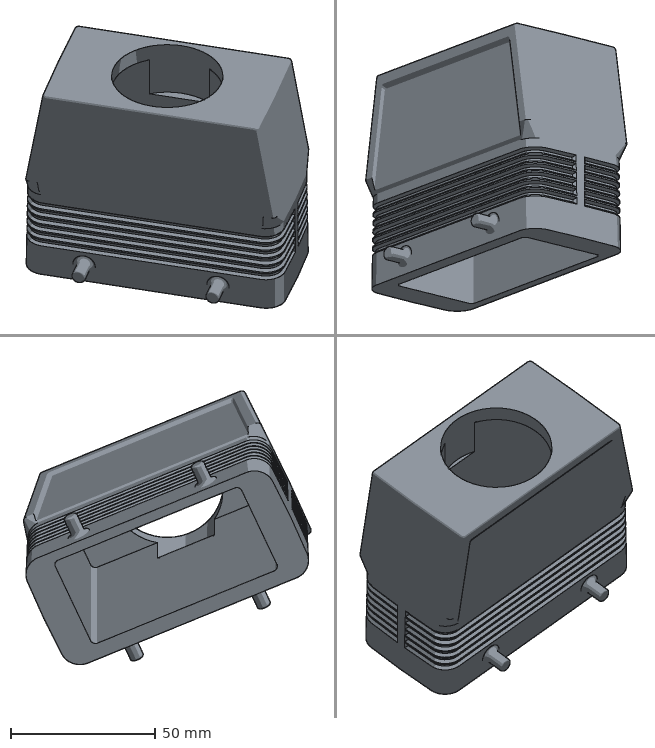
import cadquery as cq
import math

length = 93.5
height = 76.0
pin_span = 58.0

skirt_width = 43.0
skirt_top_z = 33.1
skirt_top_length = 92.6
skirt_top_width = 42.45
skirt_radius = 7.0
skirt_crease_drop = 0.5

hood_bottom_z = 39.1
hood_top_length = 78.0
hood_width = 45.2
hood_radius = 1.5
hood_crease_drop = 0.3

groove_count = 6
groove_pitch = 3.1
groove_zone_bottom = 11.9
groove_depth = 1.0
groove_mouth = 2.5
groove_floor = 0.8
web_width = 3.1
web_foot_width = 4.9

recess_depth = 1.0
recess_top_z = 71.3
recess_top_length = 70.1
recess_bottom_length = 81.0
recess_corner_radius = 1.7
recess_wall_angle = 45
recess_floor_radius = 0.9
recess_rim_radius = 0.7

entry_diameter = 38.5
entry_depth = 19.9
roof_thickness = 5.7
cavity_length = 70.5
cavity_front_y = -17.9
cavity_back_y = 16.0
cavity_radius = 1.9

pin_spacing = 48.1
pin_z = 6.4
pin_diameter = 4.9
pin_flare_radius = 1.6
pin_tip_radius = 0.7
pin_root_y = 18.7

QUADRANTS = [(1, 1), (-1, 1), (-1, -1), (1, -1)]


def blend(start, end, fraction):
    return start + (end - start) * fraction


def skirt_section(z, inset=0.0):
    """Half length, half width, corner radius, end lean and height of the skirt at z."""
    lean = math.atan2(skirt_crease_drop, skirt_width / 2)
    fraction = z / skirt_top_z
    half_length = blend(length, skirt_top_length, fraction) / 2
    half_width = blend(skirt_width, skirt_top_width, fraction) / 2
    return half_length - inset, half_width - inset, skirt_radius - inset, lean, z


def hood_section(z):
    """Half length, half width, corner radius, end lean and height of the hood at z."""
    lean = math.atan2(hood_crease_drop, hood_width / 2)
    fraction = (z - skirt_top_z) / (height - skirt_top_z)
    half_length = blend(skirt_top_length, hood_top_length, fraction) / 2
    return half_length, hood_width / 2, hood_radius, lean, z


def corner_points(section, quadrant):
    """Start on the end face, middle, and finish on the long face of a corner arc."""
    half_length, half_width, radius, lean, z = section
    center_y = half_width - radius
    center_x = half_length - center_y * math.tan(lean) - radius / math.cos(lean)
    angles = (lean, (lean + math.pi / 2) / 2, math.pi / 2)
    return [
        cq.Vector(
            quadrant[0] * (center_x + radius * math.cos(angle)),
            quadrant[1] * (center_y + radius * math.sin(angle)),
            z,
        )
        for angle in angles
    ]


def crease_point(section, side):
    return cq.Vector(side * section[0], 0, section[-1])


def outline(section):
    """Closed rounded outline with a shallow point at the middle of each end."""
    edges = []
    for quadrant in QUADRANTS:
        points = corner_points(section, quadrant)
        mirrored = corner_points(section, (-quadrant[0], quadrant[1]))
        crease = crease_point(section, quadrant[0])
        end_half = cq.Edge.makeLine(crease, points[0])
        arc = cq.Edge.makeThreePointArc(*points)
        edges += [end_half, arc]
        if quadrant[0] > 0:
            edges.append(cq.Edge.makeLine(points[2], mirrored[2]))
    return cq.Wire.assembleEdges(edges)


def facet(*points):
    return cq.Face.makeFromWires(cq.Wire.makePolygon(points, close=True))


def solid_from_faces(faces):
    return cq.Workplane(cq.Solid.makeSolid(cq.Shell.makeShell(faces)))


def band_faces(lower, upper):
    """Side faces between two outlines: flat facets and conical corners.

    Each half end is split along the line from its lower crease point to its
    upper corner, so that both triangles stay flat when the ends differ in slope.
    """
    faces = []
    for quadrant in QUADRANTS:
        low = corner_points(lower, quadrant)
        high = corner_points(upper, quadrant)
        low_crease = crease_point(lower, quadrant[0])
        high_crease = crease_point(upper, quadrant[0])
        faces.append(facet(low_crease, low[0], high[0]))
        faces.append(facet(low_crease, high[0], high_crease))
        low_arc = cq.Edge.makeThreePointArc(*low)
        high_arc = cq.Edge.makeThreePointArc(*high)
        faces.append(cq.Face.makeRuledSurface(low_arc, high_arc))
    for side in (1, -1):
        right_low, right_high = [corner_points(s, (1, side))[2] for s in (lower, upper)]
        left_low, left_high = [corner_points(s, (-1, side))[2] for s in (lower, upper)]
        faces.append(facet(right_low, left_low, left_high, right_high))
    return faces


def stacked_solid(sections):
    """Solid through a stack of outlines, with straight sides between neighbours."""
    faces = [cq.Face.makeFromWires(outline(sections[end])) for end in (0, -1)]
    for lower, upper in zip(sections, sections[1:]):
        faces += band_faces(lower, upper)
    return solid_from_faces(faces).combine(clean=True)


def ribbed_sections():
    """Skirt sections from rim to top that step in and out at every groove."""
    sections = [skirt_section(0)]
    for index in range(groove_count):
        center_z = groove_zone_bottom + groove_mouth / 2 + index * groove_pitch
        sections += [
            skirt_section(center_z - groove_mouth / 2),
            skirt_section(center_z - groove_floor / 2, groove_depth),
            skirt_section(center_z + groove_floor / 2, groove_depth),
            skirt_section(center_z + groove_mouth / 2),
        ]
    sections.append(skirt_section(skirt_top_z))
    return sections


def make_web_prism():
    """Prism with sloped flanks, running along X, that shields the end webs."""
    flank_slope = (web_foot_width - web_width) / 2 / groove_depth
    foot_x = length / 2 - 2 * groove_depth
    foot_half = web_width / 2 + (length / 2 - foot_x) * flank_slope
    points = [
        (foot_x, -foot_half),
        (length / 2, -web_width / 2),
        (length / 2, web_width / 2),
        (foot_x, foot_half),
    ]
    prism = cq.Workplane("XY").polyline(points).close().extrude(skirt_top_z)
    return prism.union(prism.mirror("YZ"))


def make_skirt():
    """Smooth skirt with the grip grooves cut in everywhere but at the end webs."""
    smooth = stacked_solid([skirt_section(0), skirt_section(skirt_top_z)])
    grooves = smooth.cut(stacked_solid(ribbed_sections())).cut(make_web_prism())
    return smooth.cut(grooves)


def hood_corners(section):
    """Sharp corners of the hood outline, including the crease of each end."""
    half_length, half_width, _, lean, z = section
    corner_x = half_length - half_width * math.tan(lean)
    corners = []
    for side in (1, -1):
        corners.append(cq.Vector(side * corner_x, -side * half_width, z))
        corners.append(crease_point(section, side))
        corners.append(cq.Vector(side * corner_x, side * half_width, z))
    return corners


def make_flare():
    """Transition from the skirt to the hood."""
    return stacked_solid([skirt_section(skirt_top_z), hood_section(hood_bottom_z)])


def make_hood():
    """Six-sided hood with flat faces, rounded along its corners and its top."""
    lower = hood_corners(hood_section(hood_bottom_z))
    upper = hood_corners(hood_section(height))
    faces = [facet(*lower), facet(*upper)]
    for index in range(len(lower)):
        faces.append(facet(lower[index - 1], lower[index], upper[index], upper[index - 1]))
    hood = solid_from_faces(faces)
    top_edges = hood.faces(">Z").edges()
    corner_edges = hood.faces("<Y or >Y").edges("not(#Z)")
    return top_edges.add(corner_edges).fillet(hood_radius)


def make_recess_cutter():
    """Tapered cutter for the front recess; it runs out through the flare below."""
    side_slope = (recess_bottom_length - recess_top_length) / 2 / (recess_top_z - hood_bottom_z)
    bottom_half = recess_bottom_length / 2 + (hood_bottom_z - skirt_top_z) * side_slope
    points = [
        (-bottom_half, skirt_top_z),
        (-recess_top_length / 2, recess_top_z),
        (recess_top_length / 2, recess_top_z),
        (bottom_half, skirt_top_z),
    ]
    plane = cq.Workplane("XZ", origin=(0, -hood_width / 2, 0))
    cutter = plane.polyline(points).close().extrude(-recess_depth, taper=recess_wall_angle)
    cutter = cutter.edges("not(#Y)").edges(">Z").fillet(recess_corner_radius)
    return cutter.faces(">Y").edges("not(<Z)").fillet(recess_floor_radius)


def make_pin():
    """Front pin on the Y axis, with a concave flare at the skirt and a rounded tip."""
    radius = pin_diameter / 2
    root_y = skirt_section(pin_z)[1]
    tip_y = pin_span / 2
    flare_mid = pin_flare_radius * (1 - math.cos(math.pi / 4))
    profile = (
        cq.Workplane("XY")
        .moveTo(0, -pin_root_y)
        .lineTo(radius + pin_flare_radius, -pin_root_y)
        .lineTo(radius + pin_flare_radius, -root_y)
        .threePointArc(
            (radius + flare_mid, -root_y - flare_mid),
            (radius, -root_y - pin_flare_radius),
        )
        .lineTo(radius, -tip_y)
        .lineTo(0, -tip_y)
        .close()
    )
    return profile.revolve(360, (0, 0, 0), (0, 1, 0)).faces("<Y").edges().fillet(pin_tip_radius)


def make_cavity():
    """Cavity open at the rim, with a round entry that bites ledges into its side walls."""
    cavity_width = cavity_back_y - cavity_front_y
    cavity = (
        cq.Workplane("XY")
        .center(0, (cavity_back_y + cavity_front_y) / 2)
        .rect(cavity_length, cavity_width)
        .extrude(height - roof_thickness)
        .edges("|Z")
        .fillet(cavity_radius)
    )
    entry_floor = cq.Workplane("XY", origin=(0, 0, height - entry_depth))
    return cavity.union(entry_floor.circle(entry_diameter / 2).extrude(entry_depth))


def cut_recesses(body):
    """Cut both recesses and round over the rims of their openings."""
    cutter = make_recess_cutter()
    body = body.cut(cutter).cut(cutter.mirror("XZ"))
    reach_x = (recess_top_length + recess_bottom_length) / 4 + hood_radius
    for side in (-1, 1):
        face_y = side * hood_width / 2
        rim_zone = cq.selectors.BoxSelector(
            (-reach_x, face_y - recess_depth / 2, hood_bottom_z + hood_radius),
            (reach_x, face_y + recess_depth / 2, recess_top_z + hood_radius),
        )
        body = body.edges(rim_zone).fillet(recess_rim_radius)
    return body


body = make_skirt().union(make_flare()).union(make_hood())
body = cut_recesses(body)
pin = make_pin()
for side in (-1, 1):
    placed = pin.translate((side * pin_spacing / 2, 0, pin_z))
    body = body.union(placed).union(placed.mirror("XZ"))
result = body.cut(make_cavity())